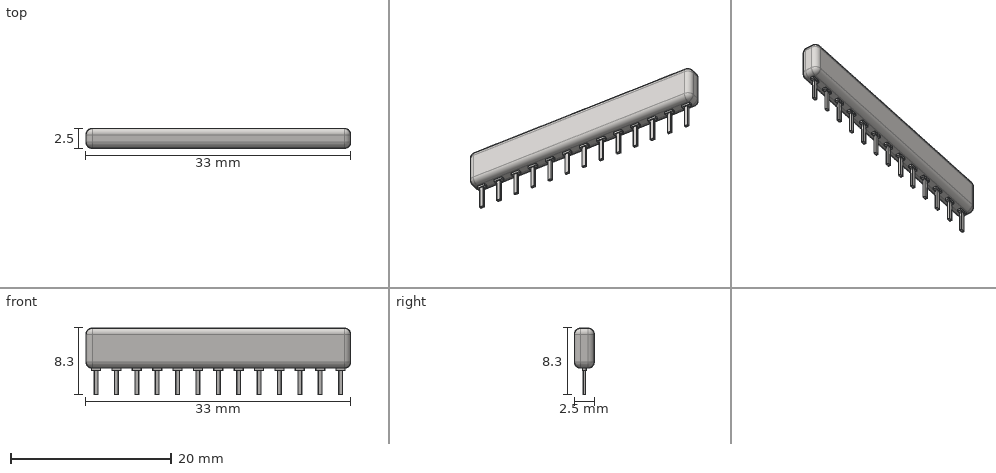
import cadquery as cq


pin_count = 13
pin_pitch = 2.54
pin_width = 0.5
pin_thickness = 0.3
pin_length = 3.0

shoulder_width = 1.15
shoulder_thickness = 0.5
standoff = 0.3

body_length = pin_count * pin_pitch
body_thickness = 2.5
body_height = 5.0
edge_radius = 0.8

embed_depth = edge_radius


def block(width, thickness, bottom, top):
    """Box centred on X = Y = 0 between two heights."""
    return (
        cq.Workplane("XY")
        .box(width, thickness, top - bottom, centered=(True, True, False))
        .translate((0, 0, bottom))
    )


def make_body():
    """Body with every edge rounded."""
    body = block(body_length, body_thickness, standoff, standoff + body_height)
    return body.edges().fillet(edge_radius)


def make_pin(x):
    """One pin with its wider shoulder, at position x along the row."""
    embedded_top = standoff + embed_depth
    shoulder = block(shoulder_width, shoulder_thickness, 0, embedded_top)
    blade = block(pin_width, pin_thickness, -pin_length, embedded_top)
    return shoulder.union(blade).translate((x, 0, 0))


first_pin_x = -(pin_count - 1) * pin_pitch / 2

result = make_body()
for index in range(pin_count):
    result = result.union(make_pin(first_pin_x + index * pin_pitch))